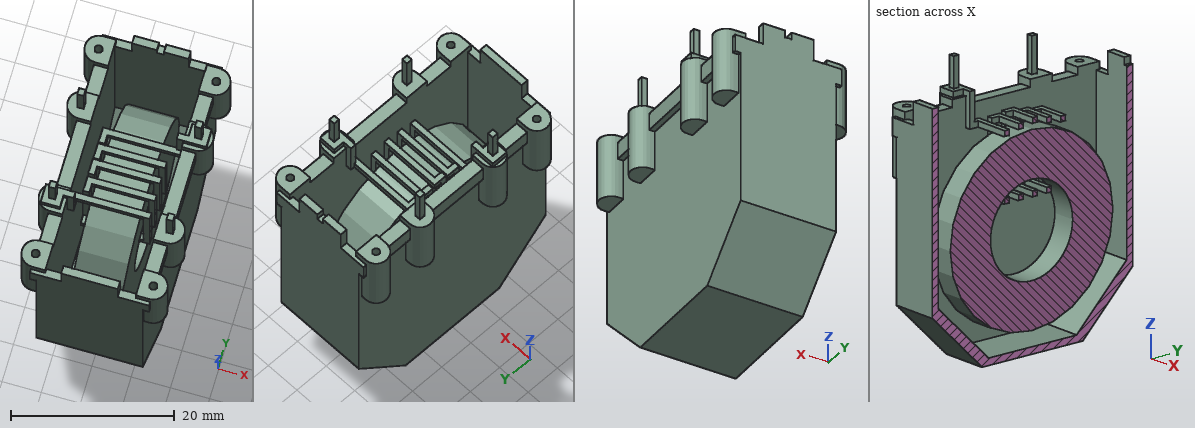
import cadquery as cq

TOTAL_HEIGHT = 38.0
TOTAL_WIDTH = 18.5
LENGTH = 32.0
FACET_COUNT = 24

WALL = 1.03
BODY_WIDTH = 13.6
CHAMFER = 7.98
RIM_HEIGHT = 32.0
LEDGE_WIDTH = 15.2
LEDGE_BOTTOM = 29.6
EAR_WIDTH = 7.22
EAR_TOP = 35.0
NOTCH_WIDTH = 0.9
NOTCH_DEPTH = 1.0
CAVITY_WIDTH = BODY_WIDTH - 2 * WALL
CAVITY_LENGTH = LENGTH - 2 * WALL

BOSS_RADIUS = 1.75
BOSS_BOTTOM = 24.0
BOSS_TOP = 33.02
BOSS_X = TOTAL_WIDTH / 2 - BOSS_RADIUS
PIN_Y = 6.25
SCREW_Y = 13.75
SCREW_HOLE_DIAMETER = 1.0
HOLE_DEPTH = TOTAL_HEIGHT - BOSS_TOP

PIN_SIZE = 0.85
PIN_PLACES = [(x, y) for x in (-BOSS_X, BOSS_X) for y in (-PIN_Y, PIN_Y)]

CORE_RADIUS = 13.0
CORE_BORE_RADIUS = CORE_RADIUS / 2
CORE_WIDTH = 6.4
CORE_OFFSET = -0.15
CORE_Z = 16.05

WIRE = 0.8
TURN_PITCH = 2.25
FIRST_BAR_Y = 4.85
TURN_LEFT = -4.5
TURN_RIGHT = 4.35
STEP_LENGTH = 1.55
END_BAR_Z = 28.95
BAR_RISES = [0.0, 0.3, 0.75, 0.45, 0.0]
LOWER_BAR_Z = 20.25
PLATE_X = 2.47
PLATE_Y = 2.4
LEAD_X = CAVITY_WIDTH / 2 - WIRE
LEAD_Y = PIN_Y - PLATE_Y / 2


def block(x0, x1, y0, y1, z0, z1):
    """Box given by its limits along each axis."""
    return cq.Workplane("XY").box(x1 - x0, y1 - y0, z1 - z0, centered=False).translate((x0, y0, z0))


def centred_block(width, length, z0, z1):
    return block(-width / 2, width / 2, -length / 2, length / 2, z0, z1)


def join(pieces):
    joined = pieces[0]
    for piece in pieces[1:]:
        joined = joined.union(piece)
    return joined


def tub(width, length, z0, z1):
    """Block with both ends of its underside cut off at 45 degrees."""
    return centred_block(width, length, z0, z1).faces("<Z").edges("|X").chamfer(CHAMFER)


def boss(side, y):
    """Faceted post joined to the cavity wall by a straight-sided web."""
    post = (
        cq.Workplane("XY", origin=(side * BOSS_X, y, BOSS_BOTTOM))
        .polygon(FACET_COUNT, 2 * BOSS_RADIUS)
        .extrude(BOSS_TOP - BOSS_BOTTOM)
    )
    near_x, far_x = sorted((side * CAVITY_WIDTH / 2, side * BOSS_X))
    web = block(near_x, far_x, y - BOSS_RADIUS, y + BOSS_RADIUS, BOSS_BOTTOM, BOSS_TOP)
    return web.union(post.cut(centred_block(CAVITY_WIDTH, LENGTH, 0, TOTAL_HEIGHT)))


def pin(x, y):
    """Square pin, seated at the bottom of its boss hole."""
    half = PIN_SIZE / 2
    return block(x - half, x + half, y - half, y + half, BOSS_TOP - HOLE_DEPTH, TOTAL_HEIGHT)


def make_housing():
    shell = tub(BODY_WIDTH, LENGTH, 0, RIM_HEIGHT)
    shell = shell.union(centred_block(LEDGE_WIDTH, LENGTH, LEDGE_BOTTOM, RIM_HEIGHT))
    shell = shell.union(centred_block(EAR_WIDTH, LENGTH, RIM_HEIGHT, EAR_TOP))
    shell = shell.cut(tub(CAVITY_WIDTH, CAVITY_LENGTH, WALL, EAR_TOP))
    shell = shell.cut(
        block(-NOTCH_WIDTH / 2, NOTCH_WIDTH / 2, 0, LENGTH / 2, EAR_TOP - NOTCH_DEPTH, EAR_TOP)
    )
    for side in (-1, 1):
        for y in (-SCREW_Y, -PIN_Y, PIN_Y, SCREW_Y):
            shell = shell.union(boss(side, y))
    screw_holes = (
        cq.Workplane("XY", origin=(0, 0, BOSS_TOP - HOLE_DEPTH))
        .rect(2 * BOSS_X, 2 * SCREW_Y, forConstruction=True)
        .vertices()
        .circle(SCREW_HOLE_DIAMETER / 2)
        .extrude(HOLE_DEPTH)
    )
    shell = shell.cut(screw_holes)
    for x, y in PIN_PLACES:
        shell = shell.cut(pin(x, y))
    return shell


def make_core():
    return (
        cq.Workplane("YZ", origin=(CORE_OFFSET - CORE_WIDTH / 2, CORE_OFFSET, CORE_Z))
        .polygon(FACET_COUNT, 2 * CORE_RADIUS)
        .circle(CORE_BORE_RADIUS)
        .extrude(CORE_WIDTH)
    )


def bar_y(index):
    return FIRST_BAR_Y - index * TURN_PITCH


def bar_bottom(index):
    return END_BAR_Z + BAR_RISES[index]


def turn(index):
    """One turn: from the left end of a bar down, through the bore and up to the next bar."""
    half = WIRE / 2
    step_start = bar_y(index) + half
    step_end = bar_y(index) - STEP_LENGTH
    next_start = bar_y(index + 1) + half
    next_end = next_start - WIRE
    left_inner = TURN_LEFT + WIRE
    right_inner = TURN_RIGHT - WIRE
    top = bar_bottom(index) + WIRE
    next_top = bar_bottom(index + 1) + WIRE
    lower_top = LOWER_BAR_Z + WIRE
    pieces = [
        block(TURN_LEFT, left_inner, step_end, step_start, bar_bottom(index), top),
        block(TURN_LEFT, left_inner, step_end, step_end + WIRE, LOWER_BAR_Z, top),
        block(TURN_LEFT, left_inner, next_end, step_end + WIRE, LOWER_BAR_Z, lower_top),
        block(TURN_LEFT, TURN_RIGHT, next_end, next_start, LOWER_BAR_Z, lower_top),
        block(right_inner, TURN_RIGHT, next_end, next_start, LOWER_BAR_Z, next_top),
    ]
    return join(pieces)


def lead():
    """Plate round the +X, +Y pin with an arm over the rim and a leg down the cavity wall."""
    top = BOSS_TOP + WIRE
    plate = block(
        BOSS_X - PLATE_X / 2, BOSS_X + PLATE_X / 2, LEAD_Y, LEAD_Y + PLATE_Y, BOSS_TOP, top
    )
    arm = block(LEAD_X, BOSS_X, LEAD_Y, LEAD_Y + WIRE, BOSS_TOP, top)
    leg = block(LEAD_X, LEAD_X + WIRE, LEAD_Y, LEAD_Y + WIRE, END_BAR_Z, top)
    return join([plate, arm, leg])


def make_winding():
    half = WIRE / 2
    wall_x = CAVITY_WIDTH / 2
    last = len(BAR_RISES) - 1
    pieces = []
    for index in range(last + 1):
        left = -wall_x if index == last else TURN_LEFT
        right = wall_x if index == 0 else TURN_RIGHT
        y = bar_y(index)
        bottom = bar_bottom(index)
        pieces.append(block(left, right, y - half, y + half, bottom, bottom + WIRE))
    for index in range(last):
        pieces.append(turn(index))
    pieces.append(lead())
    pieces.append(lead().rotate((0, 0, 0), (0, 0, 1), 180))
    link_end = bar_y(last) + half
    pieces.append(block(-wall_x, -LEAD_X, -LEAD_Y - WIRE, link_end, END_BAR_Z, END_BAR_Z + WIRE))
    return join(pieces)


def make_wound_core():
    """Core and winding as one body, joined where the last lower bar bears on the bore."""
    coil = make_core().union(make_winding())
    for x, y in PIN_PLACES:
        coil = coil.cut(pin(x, y))
    return coil


housing = make_housing()
wound_core = make_wound_core()
pins = [pin(x, y) for x, y in PIN_PLACES]

result = cq.Compound.makeCompound([housing.val(), wound_core.val(), *[p.val() for p in pins]])